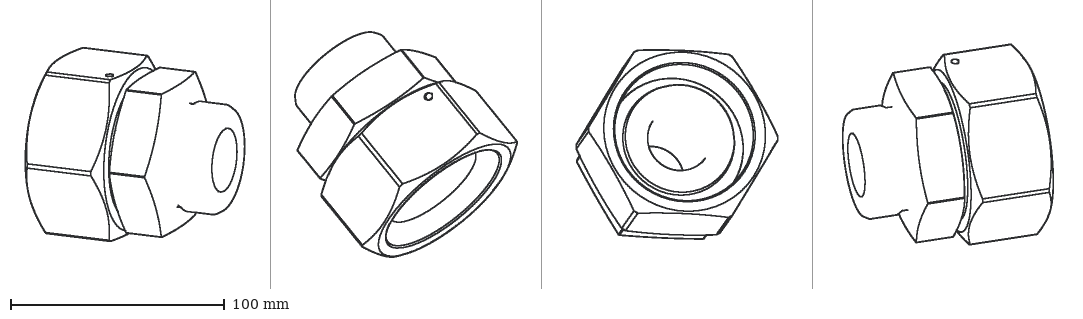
import cadquery as cq
import math


NUT_LENGTH = 40.0
NUT_ACROSS_FLATS = 79.0
NUT_ACROSS_CORNER_FLATS = 90.0
NUT_FACE_DIAMETER = 77.0
NUT_CHAMFER_ANGLE = 30.0
THREAD_BORE_DIAMETER = 66.0
REAR_BORE_DIAMETER = 65.25

MOUTH_RADIUS = 35.4
LIP_RADIUS = 34.6
LIP_ANGLE = 30.0
LEAD_IN_RADIUS = 33.7
LEAD_IN_ANGLE = 50.0

HOLE_X = 32.9
HOLE_MOUTH_Y = -14.9
HOLE_TILT = 30.0
HOLE_ENTRY_DIAMETER = 3.5
HOLE_ENTRY_DEPTH = 0.7
HOLE_DIAMETER = 3.3

TIP_X = 9.25
TIP_RADIUS = 25.2
TIP_ROUNDING = 0.35
CONE_HALF_ANGLE = 12.0
GROOVE_FRONT_X = TIP_X + 3.5
GROOVE_REAR_X = GROOVE_FRONT_X + 3.0
GROOVE_DEPTH = 2.0
SHOULDER_X = 25.6
SHOULDER_RADIUS = 64.95 / 2
SHOULDER_FILLET = 1.0

BORE_RADIUS = 30.0 / 2
COUNTERSINK_RADIUS = 20.0
COUNTERSINK_ANGLE = 45.0

HEX_FRONT_X = 41.88
HEX_REAR_X = 63.0
HEX_ACROSS_FLATS = 70.0
HEX_ACROSS_CORNERS = 80.5
HEX_FRONT_FACE_DIAMETER = 67.6
HEX_REAR_FACE_DIAMETER = 69.8
HEX_CHAMFER_ANGLE = 15.0
HEX_FILLET = 0.9

THREAD_X = 69.75
THREAD_RADIUS = 52.0 / 2
UNDERCUT_RADIUS = 48.9 / 2
UNDERCUT_FILLET = 1.2
THREAD_CHAMFER_ANGLE = 30.0
BODY_END_X = 85.0
EDGE_ROUNDING = 0.5


def tan(angle):
    return math.tan(math.radians(angle))


def turned(points):
    """Solid of revolution about the X axis from (x, radius) points."""
    return cq.Workplane("XY").polyline(points).close().revolve(360, (0, 0, 0), (1, 0, 0))


def hex_prism(x_start, x_end, across_flats):
    """Hexagonal bar along X with two of its flats facing up and down."""
    corner_diameter = across_flats / math.cos(math.radians(30))
    return cq.Workplane("YZ").workplane(offset=x_start).polygon(6, corner_diameter).extrude(x_end - x_start)


def chamfered_round(x_start, x_end, diameter, front_diameter, rear_diameter, angle):
    """Round bar with a conical chamfer, angled from the face, at each end."""
    front_chamfer = (diameter - front_diameter) / 2 * tan(angle)
    rear_chamfer = (diameter - rear_diameter) / 2 * tan(angle)
    return turned([
        (x_start, 0),
        (x_start, front_diameter / 2),
        (x_start + front_chamfer, diameter / 2),
        (x_end - rear_chamfer, diameter / 2),
        (x_end, rear_diameter / 2),
        (x_end, 0),
    ])


def fillet_circle(solid, x, radius, fillet_radius):
    """Round the circular edge of the given radius at position x."""
    reach = 0.01
    outer = radius + reach
    edge = cq.selectors.BoxSelector((x - reach, -outer, -outer), (x + reach, outer, outer), boundingbox=True)
    return solid.edges(edge).edges(cq.selectors.RadiusNthSelector(-1)).fillet(fillet_radius)



def nut_bore():
    """Cutter for the mouth, the thread bore and the rear bore of the nut."""
    thread_radius = THREAD_BORE_DIAMETER / 2
    rear_radius = REAR_BORE_DIAMETER / 2
    lip_angle = math.radians(LIP_ANGLE)
    rounding = (MOUTH_RADIUS - LIP_RADIUS) / math.sin(lip_angle)
    rounding_middle = (
        rounding * (1 - math.cos(lip_angle / 2)),
        MOUTH_RADIUS - rounding * math.sin(lip_angle / 2),
    )
    lip_x = rounding * (1 - math.cos(lip_angle))
    lead_in_x = lip_x + (LIP_RADIUS - LEAD_IN_RADIUS) * tan(LIP_ANGLE)
    thread_x = lead_in_x + (LEAD_IN_RADIUS - thread_radius) * tan(LEAD_IN_ANGLE)
    step = thread_radius - rear_radius
    step_middle = (
        SHOULDER_X + step * math.sin(math.radians(45)),
        rear_radius + step * math.cos(math.radians(45)),
    )
    return (
        cq.Workplane("XY")
        .moveTo(0, 0)
        .lineTo(0, MOUTH_RADIUS)
        .threePointArc(rounding_middle, (lip_x, LIP_RADIUS))
        .lineTo(lead_in_x, LEAD_IN_RADIUS)
        .lineTo(thread_x, thread_radius)
        .lineTo(SHOULDER_X, thread_radius)
        .threePointArc(step_middle, (SHOULDER_X + step, rear_radius))
        .lineTo(NUT_LENGTH, rear_radius)
        .lineTo(NUT_LENGTH, 0)
        .close()
        .revolve(360, (0, 0, 0), (1, 0, 0))
    )


def slanted_hole():
    """Stepped cutter for the hole in the upper flat of the nut."""
    tilt = math.radians(HOLE_TILT)
    mouth = cq.Vector(HOLE_X, HOLE_MOUTH_Y, NUT_ACROSS_FLATS / 2)
    inwards = cq.Vector(0, -math.sin(tilt), -math.cos(tilt))
    overshoot = HOLE_ENTRY_DIAMETER
    entry_start = mouth - inwards * overshoot
    entry = cq.Solid.makeCylinder(
        HOLE_ENTRY_DIAMETER / 2, HOLE_ENTRY_DEPTH + overshoot, entry_start, inwards
    )
    drill_length = -mouth.dot(inwards)
    drill = cq.Solid.makeCylinder(HOLE_DIAMETER / 2, drill_length, mouth, inwards)
    return cq.Workplane(entry).union(cq.Workplane(drill))


def make_nut():
    blank = hex_prism(0, NUT_LENGTH, NUT_ACROSS_FLATS)
    corner_flats = hex_prism(0, NUT_LENGTH, NUT_ACROSS_CORNER_FLATS).rotate((0, 0, 0), (1, 0, 0), 30)
    blank_corner_diameter = NUT_ACROSS_FLATS / math.cos(math.radians(30))
    chamfers = chamfered_round(
        0, NUT_LENGTH, blank_corner_diameter, NUT_FACE_DIAMETER, NUT_FACE_DIAMETER, NUT_CHAMFER_ANGLE
    )
    blank = blank.intersect(corner_flats).intersect(chamfers)
    return blank.cut(nut_bore()).cut(slanted_hole())



def cone_radius(x):
    return TIP_RADIUS + (x - TIP_X) * tan(CONE_HALF_ANGLE)


def body_nose():
    """Tapered nose with its seal groove, and the shoulder that the nut turns on."""
    groove_floor = cone_radius(GROOVE_FRONT_X) - GROOVE_DEPTH
    cone_end_radius = cone_radius(SHOULDER_X)
    nose = turned([
        (TIP_X, 0),
        (TIP_X, TIP_RADIUS),
        (GROOVE_FRONT_X, cone_radius(GROOVE_FRONT_X)),
        (GROOVE_FRONT_X, groove_floor),
        (GROOVE_REAR_X, groove_floor),
        (GROOVE_REAR_X, cone_radius(GROOVE_REAR_X)),
        (SHOULDER_X, cone_end_radius),
        (SHOULDER_X, SHOULDER_RADIUS),
        (HEX_FRONT_X, SHOULDER_RADIUS),
        (HEX_FRONT_X, 0),
    ])
    nose = fillet_circle(nose, TIP_X, TIP_RADIUS, TIP_ROUNDING)
    return fillet_circle(nose, SHOULDER_X, cone_end_radius, SHOULDER_FILLET)


def body_hexagon():
    rounded_corners = chamfered_round(
        HEX_FRONT_X,
        HEX_REAR_X,
        HEX_ACROSS_CORNERS,
        HEX_FRONT_FACE_DIAMETER,
        HEX_REAR_FACE_DIAMETER,
        HEX_CHAMFER_ANGLE,
    )
    return hex_prism(HEX_FRONT_X, HEX_REAR_X, HEX_ACROSS_FLATS).intersect(rounded_corners)


def body_thread():
    """Undercut and threaded end, chamfered down to the undercut diameter at both ends."""
    chamfer_length = (THREAD_RADIUS - UNDERCUT_RADIUS) / tan(THREAD_CHAMFER_ANGLE)
    undercut_end_x = THREAD_X - chamfer_length
    end_chamfer_x = BODY_END_X - chamfer_length
    thread = turned([
        (HEX_REAR_X, 0),
        (HEX_REAR_X, UNDERCUT_RADIUS),
        (undercut_end_x, UNDERCUT_RADIUS),
        (THREAD_X, THREAD_RADIUS),
        (end_chamfer_x, THREAD_RADIUS),
        (BODY_END_X, UNDERCUT_RADIUS),
        (BODY_END_X, 0),
    ])
    thread = fillet_circle(thread, undercut_end_x, UNDERCUT_RADIUS, UNDERCUT_FILLET)
    for x, radius in (
        (THREAD_X, THREAD_RADIUS),
        (end_chamfer_x, THREAD_RADIUS),
        (BODY_END_X, UNDERCUT_RADIUS),
    ):
        thread = fillet_circle(thread, x, radius, EDGE_ROUNDING)
    return thread


def make_body():
    body = body_nose().union(body_hexagon()).union(body_thread())
    body = fillet_circle(body, HEX_FRONT_X, SHOULDER_RADIUS, HEX_FILLET)
    body = fillet_circle(body, HEX_REAR_X, UNDERCUT_RADIUS, UNDERCUT_FILLET)

    countersink_end_x = TIP_X + (COUNTERSINK_RADIUS - BORE_RADIUS) / tan(COUNTERSINK_ANGLE)
    bore = turned([
        (TIP_X, 0),
        (TIP_X, COUNTERSINK_RADIUS),
        (countersink_end_x, BORE_RADIUS),
        (BODY_END_X, BORE_RADIUS),
        (BODY_END_X, 0),
    ])
    body = body.cut(bore)
    body = fillet_circle(body, TIP_X, COUNTERSINK_RADIUS, EDGE_ROUNDING)
    return fillet_circle(body, countersink_end_x, BORE_RADIUS, EDGE_ROUNDING)


nut = make_nut().solids()
body = make_body().solids()
result = cq.Compound.makeCompound([nut.val(), body.val()])